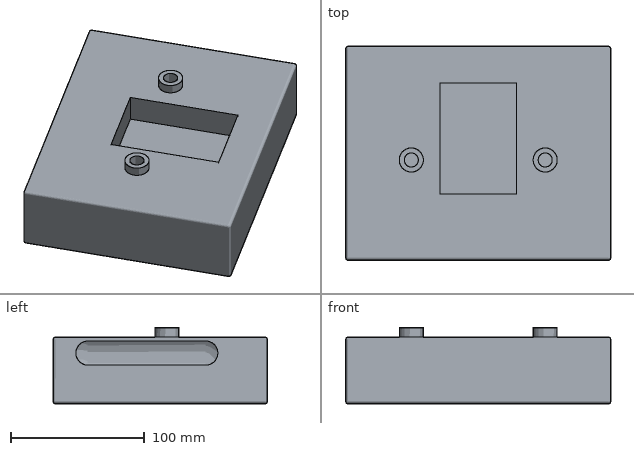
import cadquery as cq
import math

BLOCK_LENGTH = 198.0
BLOCK_WIDTH = 160.0
BLOCK_HEIGHT = 50.0
EDGE_RADIUS = 2.0

POCKET_LENGTH = 57.0
POCKET_WIDTH = 83.0
POCKET_DEPTH = 21.0
POCKET_CENTER_Y = 11.0

BOSS_DIAMETER = 18.0
BOSS_HEIGHT = 7.0
BOSS_HOLE_DIAMETER = 10.5
BOSS_HOLE_DEPTH = 10.0
BOSS_SPACING = 100.0
BOSS_CENTER_Y = -5.0

GROOVE_WIDTH = 18.0
GROOVE_DEPTH = 2.8
GROOVE_STRAIGHT_LENGTH = 88.0
GROOVE_CENTER_Y = 10.0
GROOVE_BELOW_TOP = 12.0


def make_block():
    """Plain block with every edge rounded."""
    block = cq.Workplane("XY").box(BLOCK_LENGTH, BLOCK_WIDTH, BLOCK_HEIGHT, centered=(True, True, False))
    return block.edges().fillet(EDGE_RADIUS)


def make_pocket():
    """Volume removed by the rectangular pocket."""
    return (
        cq.Workplane("XY", origin=(0, POCKET_CENTER_Y, BLOCK_HEIGHT))
        .rect(POCKET_LENGTH, POCKET_WIDTH)
        .extrude(-POCKET_DEPTH)
    )


def add_bosses(body):
    """Add both bosses, then bore their blind holes from the top."""
    boss_centers = [(side * BOSS_SPACING / 2, BOSS_CENTER_Y) for side in (-1, 1)]
    bosses = (
        cq.Workplane("XY", origin=(0, 0, BLOCK_HEIGHT))
        .pushPoints(boss_centers)
        .circle(BOSS_DIAMETER / 2)
        .extrude(BOSS_HEIGHT)
    )
    holes = (
        cq.Workplane("XY", origin=(0, 0, BLOCK_HEIGHT + BOSS_HEIGHT))
        .pushPoints(boss_centers)
        .circle(BOSS_HOLE_DIAMETER / 2)
        .extrude(-BOSS_HOLE_DEPTH)
    )
    return body.union(bosses).cut(holes)


def make_groove():
    """Ball-ended bar along Y whose axis lies outside the -X face, so only its side sinks in."""
    half_width = GROOVE_WIDTH / 2
    radius = (half_width**2 + GROOVE_DEPTH**2) / (2 * GROOVE_DEPTH)
    half_straight = GROOVE_STRAIGHT_LENGTH / 2
    half_overall = half_straight + radius
    arc_offset = radius * math.sqrt(0.5)
    axis_x = -BLOCK_LENGTH / 2 + GROOVE_DEPTH - radius
    axis_z = BLOCK_HEIGHT - GROOVE_BELOW_TOP
    return (
        cq.Workplane("XY", origin=(axis_x, GROOVE_CENTER_Y, axis_z))
        .moveTo(0, -half_overall)
        .threePointArc((arc_offset, -half_straight - arc_offset), (radius, -half_straight))
        .lineTo(radius, half_straight)
        .threePointArc((arc_offset, half_straight + arc_offset), (0, half_overall))
        .close()
        .revolve(360, (0, 0, 0), (0, 1, 0))
    )


result = add_bosses(make_block().cut(make_pocket()).cut(make_groove()))